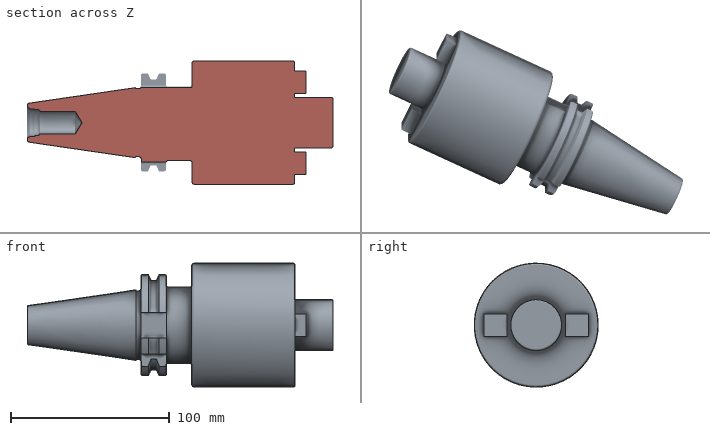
import cadquery as cq
import math

overall_length = 192.25
taper_length = 68.25
pilot_length = 24.0
gauge_to_flange = 3.2
gauge_to_groove = 11.2
gauge_to_flange_back = 19.1
gauge_to_body = 35.0

flange_front_x = taper_length + gauge_to_flange
groove_x = taper_length + gauge_to_groove
flange_back_x = taper_length + gauge_to_flange_back
body_front_x = taper_length + gauge_to_body
body_back_x = overall_length - pilot_length

gauge_radius = 44.45 / 2
taper_ratio = 7 / 24
small_end_radius = gauge_radius - taper_length * taper_ratio / 2
neck_radius = 21.6
flange_radius = 63.55 / 2
shank_radius = 24.0
body_radius = 78.0 / 2
pilot_radius = 32.0 / 2

groove_bottom_radius = 56.25 / 2
groove_width = 6.9
groove_floor_width = 3.4
groove_floor_fillet = 1.0

small_end_round = 1.0
neck_fillet = 1.2
flange_edge_round = 1.1
shank_fillet = 1.0
body_front_round = 2.0
body_back_round = 1.3
pilot_end_round = 1.0

slot_width = 16.1
slot_floor_left = 22.3
slot_floor_right = 24.8
notch_corner = 18.3
slot_fillet = 1.2
notch_fillet = 1.5
cut_reach = 2 * flange_radius

bore_mouth_radius = 19.0 / 2
counterbore_radius = 17.0 / 2
counterbore_depth = 4.5
thread_major_radius = 16.0 / 2
thread_relief_depth = 7.0
thread_core_radius = 13.835 / 2
thread_depth = 30.0
mouth_angle = math.radians(30)
step_angle = math.radians(45)
drill_tip_angle = math.radians(59)

key_width = 14.3
key_height = 7.0
key_inner_y = 18.3
key_outer_y = 32.8


def cylinder(start_x, end_x, radius):
    """Cylinder about the X axis."""
    return cq.Workplane("YZ", origin=(start_x, 0, 0)).circle(radius).extrude(end_x - start_x)


def revolve_profile(points):
    """Turn an (x, radius) outline about the X axis."""
    return cq.Workplane("XY").polyline(points).close().revolve(360, (0, 0, 0), (1, 0, 0))


def make_taper():
    outline = [(0, 0), (0, small_end_radius), (taper_length, gauge_radius), (taper_length, 0)]
    return revolve_profile(outline).faces("<X").edges().fillet(small_end_round)


def make_groove():
    """Ring with slanted flanks and rounded floor corners, removed from the flange rim."""
    top_half = groove_width / 2
    bottom_half = groove_floor_width / 2
    groove = revolve_profile([
        (groove_x - top_half, flange_radius),
        (groove_x - bottom_half, groove_bottom_radius),
        (groove_x + bottom_half, groove_bottom_radius),
        (groove_x + top_half, flange_radius),
    ])
    floor_edges = cq.selectors.RadiusNthSelector(0)
    return groove.edges(floor_edges).fillet(groove_floor_fillet)


def flange_cutter(inner_y, outer_y, low_z, high_z, corner_fillet, end_x):
    """Block from the flange front face to end_x, rounded along its X edges."""
    length = end_x - flange_front_x
    block = cq.Workplane("XY").box(length, outer_y - inner_y, high_z - low_z, centered=False)
    return block.edges("|X").fillet(corner_fillet).translate((flange_front_x, inner_y, low_z))


def make_flange():
    flange = cylinder(flange_front_x, flange_back_x, flange_radius).edges().fillet(flange_edge_round)
    flange = flange.cut(make_groove())
    return flange.cut(make_right_slot()).cut(make_notch())


def make_left_slot():
    """Deeper +Y drive slot, which runs on through the shank up to the body."""
    half_slot = slot_width / 2
    return flange_cutter(slot_floor_left, cut_reach, -half_slot, half_slot, slot_fillet, body_front_x)


def make_right_slot():
    half_slot = slot_width / 2
    return flange_cutter(-cut_reach, -slot_floor_right, -half_slot, half_slot, slot_fillet, flange_back_x)


def make_notch():
    return flange_cutter(-cut_reach, -notch_corner, -cut_reach, -notch_corner, notch_fillet, flange_back_x)


def make_collar(start_x, end_x, radius, fillet, at_start, at_end):
    """Cylinder that flares with a concave fillet into the wider section beside it."""
    outline = cq.Workplane("XY").moveTo(start_x, 0)
    if at_start:
        outline = outline.lineTo(start_x, radius + fillet)
        outline = outline.radiusArc((start_x + fillet, radius), -fillet)
    else:
        outline = outline.lineTo(start_x, radius)
    if at_end:
        outline = outline.lineTo(end_x - fillet, radius)
        outline = outline.radiusArc((end_x, radius + fillet), -fillet)
    else:
        outline = outline.lineTo(end_x, radius)
    return outline.lineTo(end_x, 0).close().revolve(360, (0, 0, 0), (1, 0, 0))


def make_body():
    body = cylinder(body_front_x, body_back_x, body_radius)
    body = body.faces("<X").edges().fillet(body_front_round)
    return body.faces(">X").edges().fillet(body_back_round)


def make_pilot():
    pilot = cylinder(body_back_x, overall_length, pilot_radius)
    return pilot.faces(">X").edges().fillet(pilot_end_round)


def make_key(side):
    key_length = key_outer_y - key_inner_y
    center_y = side * (key_inner_y + key_outer_y) / 2
    face = cq.Workplane("YZ", origin=(body_back_x, center_y, 0))
    return face.rect(key_length, key_width).extrude(key_height)


def make_bore():
    mouth_depth = (bore_mouth_radius - counterbore_radius) / math.tan(mouth_angle)
    step_depth = (thread_major_radius - thread_core_radius) / math.tan(step_angle)
    tip_depth = thread_core_radius / math.tan(drill_tip_angle)
    return revolve_profile([
        (0, 0),
        (0, bore_mouth_radius),
        (mouth_depth, counterbore_radius),
        (counterbore_depth, counterbore_radius),
        (counterbore_depth, thread_major_radius),
        (thread_relief_depth, thread_major_radius),
        (thread_relief_depth + step_depth, thread_core_radius),
        (thread_depth, thread_core_radius),
        (thread_depth + tip_depth, 0),
    ])


arbor = make_taper()
arbor = arbor.union(make_collar(taper_length, flange_front_x, neck_radius, neck_fillet, False, True))
arbor = arbor.union(make_flange())
arbor = arbor.union(make_collar(flange_back_x, body_front_x, shank_radius, shank_fillet, True, True))
arbor = arbor.union(make_body())
arbor = arbor.union(make_pilot())
arbor = arbor.cut(make_left_slot())
for side in (-1, 1):
    arbor = arbor.union(make_key(side))

result = arbor.cut(make_bore())